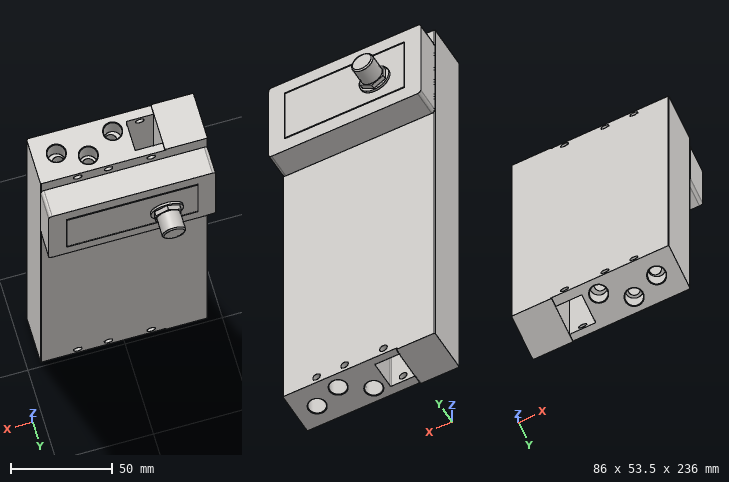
import cadquery as cq

block_width = 86.0
block_depth = 25.0
block_height = 236.0
edge_break = 0.5

strip_width = 22.0
end_step = 1.0

duct_width = 14.2
duct_front = 5.0
duct_depth = 16.0
duct_corner_radius = 0.5

port_diameter = 9.2
port_depth = 11.8
port_chamfer = 0.35
bore_diameter = 6.1
ports = [
    (44.0, 8.0, 1.0, -0.2),
    (59.0, 17.0, 0.0, 0.0),
    (73.9, 11.5, -1.0, 0.2),
]

mount_diameter = 4.2
mount_columns = [29.0, 51.0, 66.8]
mount_inset = 5.2

housing_depth = 14.5
housing_height = 53.3
housing_top_inset = 10.9
housing_corner_radius = 1.77
housing_back = block_depth + housing_depth
housing_center_z = block_height - housing_top_inset - housing_height / 2

label_margin = 9.2
label_thickness = 0.5

connector_x = 25.5
connector_z = 195.6
washer_diameter = 16.8
washer_thickness = 1.7
nut_across_flats = 13.0
nut_thickness = 2.4
plug_diameter = 12.0
plug_end_chamfer = 0.7
overall_depth = 53.5
nut_start = housing_back + washer_thickness
plug_start = nut_start + nut_thickness


def box_at(x, y, z, width, depth, height):
    """Box with its lowest corner at (x, y, z)."""
    return cq.Workplane("XY").box(width, depth, height, centered=False).translate((x, y, z))


def back_plane(y):
    """Sketch plane facing +Y; its local X runs along -X of the part."""
    return cq.Workplane(cq.Plane(origin=(0, y, 0), xDir=(-1, 0, 0), normal=(0, 1, 0)))


def make_block():
    block = box_at(0, 0, 0, block_width, block_depth, block_height)
    stepped_width = block_width - strip_width
    for z in (0, block_height - end_step):
        block = block.cut(box_at(strip_width, 0, z, stepped_width, block_depth, end_step))
    return block.edges("|Z").chamfer(edge_break)


def make_duct():
    duct = box_at(strip_width, duct_front, 0, duct_width, duct_depth, block_height)
    return duct.edges("|Z and >X").fillet(duct_corner_radius)


def make_port(x, y, bore_dx, bore_dy):
    """Eccentric bore through the full height with a flared counterbore at each end."""
    bore_axis = cq.Workplane("XY").center(x + bore_dx, y + bore_dy)
    bore = bore_axis.circle(bore_diameter / 2).extrude(block_height)
    flared_diameter = port_diameter + 2 * port_chamfer
    for end_z, inward in ((end_step, 1), (block_height - end_step, -1)):
        mouth = cq.Workplane("XY").workplane(offset=end_z).center(x, y)
        flare = (
            mouth.circle(flared_diameter / 2)
            .workplane(offset=inward * port_chamfer)
            .circle(port_diameter / 2)
            .loft()
        )
        counterbore = mouth.circle(port_diameter / 2).extrude(inward * port_depth)
        bore = bore.union(counterbore).union(flare)
    return bore


def make_mount_holes():
    rows = (mount_inset, block_height - mount_inset)
    centers = [(-x, z) for x in mount_columns for z in rows]
    return back_plane(0).pushPoints(centers).circle(mount_diameter / 2).extrude(block_depth)


def make_housing():
    bottom = housing_center_z - housing_height / 2
    housing = box_at(0, block_depth, bottom, block_width, housing_depth, housing_height)
    housing = housing.edges("|Y").fillet(housing_corner_radius)
    label_width = block_width - 2 * label_margin
    label_height = housing_height - 2 * label_margin
    label = (
        back_plane(housing_back)
        .center(-block_width / 2, housing_center_z)
        .rect(label_width, label_height)
        .extrude(label_thickness)
    )
    return housing.union(label)


def make_connector():
    def section(y):
        return back_plane(y).center(-connector_x, connector_z)

    washer = section(housing_back).circle(washer_diameter / 2).extrude(washer_thickness)
    nut = (
        section(nut_start)
        .polygon(6, nut_across_flats, circumscribed=True)
        .extrude(nut_thickness)
    )
    plug = section(plug_start).circle(plug_diameter / 2).extrude(overall_depth - plug_start)
    plug = plug.faces(">Y").chamfer(plug_end_chamfer)
    return washer.union(nut).union(plug)


block = make_block().cut(make_duct()).cut(make_mount_holes())
for port in ports:
    block = block.cut(make_port(*port))

result = block.union(make_housing()).union(make_connector())